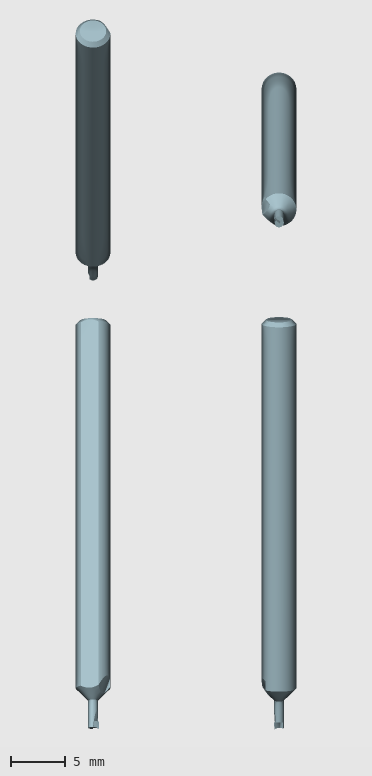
import cadquery as cq
import math

total_length = 38.1
shank_radius = 1.58
flat_y = 1.353
end_chamfer = 0.4
neck_radius = 0.44
neck_bottom = 0.1
neck_top = 2.65
cone_top = neck_top + shank_radius - neck_radius

tip_reach = 0.552
tip_top = 0.7
tip_rise_x = 0.35
pocket_wall_x = 0.095

shank_relief_azimuth = 18.0
shank_relief_tilt = 21.0
shank_relief_x = 0.2
neck_relief_azimuth = 25.0
neck_relief_tilt = 7.5
neck_relief_x = -0.25
tooth_relief_azimuth = 50.0
tooth_relief_tilt = 3.3
cutter_size = 3 * shank_radius


def make_body():
    """Revolved shank, cone and neck, with the clamping flat cut away."""
    profile = [
        (0, neck_bottom),
        (neck_radius, neck_bottom),
        (neck_radius, neck_top),
        (shank_radius, cone_top),
        (shank_radius, total_length - end_chamfer),
        (shank_radius - end_chamfer, total_length),
        (0, total_length),
    ]
    body = cq.Workplane("XZ").polyline(profile).close().revolve(360, (0, 0, 0), (0, 1, 0))
    flat_cutter = cq.Workplane("XY").box(
        2 * shank_radius, shank_radius, total_length, centered=(True, False, False)
    ).translate((0, flat_y, 0))
    return body.cut(flat_cutter)


def make_tip():
    """Tooth behind the rake plane, with an underside rising from its cutting corner."""
    outline = [
        (-tip_reach, 0),
        (-tip_rise_x, neck_bottom),
        (0, neck_bottom),
        (0, tip_top),
        (-tip_reach, tip_top),
    ]
    tooth = cq.Workplane("XZ").polyline(outline).close().extrude(-neck_radius)
    envelope = cq.Workplane("XY").circle(neck_radius).extrude(tip_top)
    corner = cq.Workplane("XY").box(
        tip_reach, neck_radius / 2, tip_top, centered=(False, False, False)
    ).translate((-tip_reach, 0, 0))
    return tooth.intersect(envelope.union(corner))


def make_chip_pocket():
    """Open pocket in front of the tooth, leaving its rake face on Y = 0."""
    return cq.Workplane("XY").box(
        tip_reach + pocket_wall_x, neck_radius, tip_top, centered=(False, False, False)
    ).translate((-tip_reach, -neck_radius, 0))


def make_relief(start_x, azimuth, tilt, bottom, top):
    """Material outside an inclined face, limited to Y > 0 and a height range."""
    turn = math.radians(azimuth)
    lean = math.tan(math.radians(tilt))
    normal = (-math.cos(turn), math.sin(turn), -lean * math.cos(turn))
    face = cq.Plane(origin=(start_x, 0, 0), xDir=(math.sin(turn), math.cos(turn), 0), normal=normal)
    outside = cq.Workplane(face).rect(2 * cutter_size, 4 * cutter_size).extrude(cutter_size)
    limits = cq.Workplane("XY").box(
        2 * cutter_size, cutter_size, top - bottom, centered=(True, False, False)
    ).translate((0, 0, bottom))
    return outside.intersect(limits)


shank_relief = make_relief(
    shank_relief_x, shank_relief_azimuth, shank_relief_tilt, neck_top, 2 * cone_top
)
neck_relief = make_relief(neck_relief_x, neck_relief_azimuth, neck_relief_tilt, 0, neck_top)
tooth_relief = make_relief(-tip_reach, tooth_relief_azimuth, tooth_relief_tilt, 0, neck_top)

shank = make_body().cut(make_chip_pocket()).cut(neck_relief).cut(shank_relief)
result = shank.union(make_tip().cut(tooth_relief))